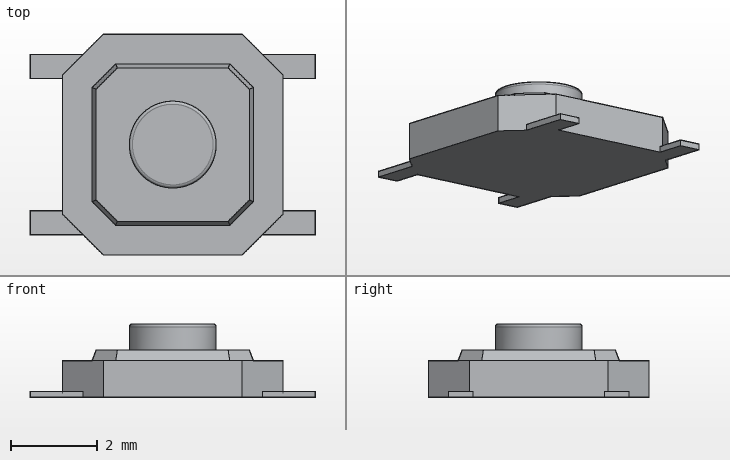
import cadquery as cq
import math

body_width = 5.1
body_height = 0.85
body_corner_cut = 0.95

cover_base_width = 3.725
cover_base_corner_cut = 0.545
cover_side_inset = 0.09
cover_height = 0.25

button_diameter = 2.01
button_edge_round = 0.07
total_height = 1.7

terminal_span = 6.58
terminal_width = 0.56
terminal_thickness = 0.14
terminal_offset = 1.8

cover_top_z = body_height + cover_height
cover_top_width = cover_base_width - 2 * cover_side_inset
cover_top_corner_cut = cover_base_corner_cut - (2 - math.sqrt(2)) * cover_side_inset


def cut_corner_square(width, corner_cut):
    """Corner points of a centred square whose four corners are cut at 45 degrees."""
    half = width / 2
    inner = half - corner_cut
    return [
        (half, -inner), (half, inner),
        (inner, half), (-inner, half),
        (-half, inner), (-half, -inner),
        (-inner, -half), (inner, -half),
    ]


def make_body():
    outline = cut_corner_square(body_width, body_corner_cut)
    return cq.Workplane("XY").polyline(outline).close().extrude(body_height)


def make_cover():
    base = cut_corner_square(cover_base_width, cover_base_corner_cut)
    top = cut_corner_square(cover_top_width, cover_top_corner_cut)
    return (
        cq.Workplane("XY", origin=(0, 0, body_height))
        .polyline(base).close()
        .workplane(offset=cover_height)
        .polyline(top).close()
        .loft(ruled=True)
    )


def make_button():
    return (
        cq.Workplane("XY", origin=(0, 0, cover_top_z))
        .circle(button_diameter / 2)
        .extrude(total_height - cover_top_z)
        .faces(">Z").edges().fillet(button_edge_round)
    )


def make_terminal_strip(y):
    """One strip runs through the body and forms a terminal at each end."""
    return (
        cq.Workplane("XY", origin=(0, y, 0))
        .box(terminal_span, terminal_width, terminal_thickness, centered=(True, True, False))
    )


result = make_body().union(make_cover()).union(make_button())
for side in (-1, 1):
    result = result.union(make_terminal_strip(side * terminal_offset))